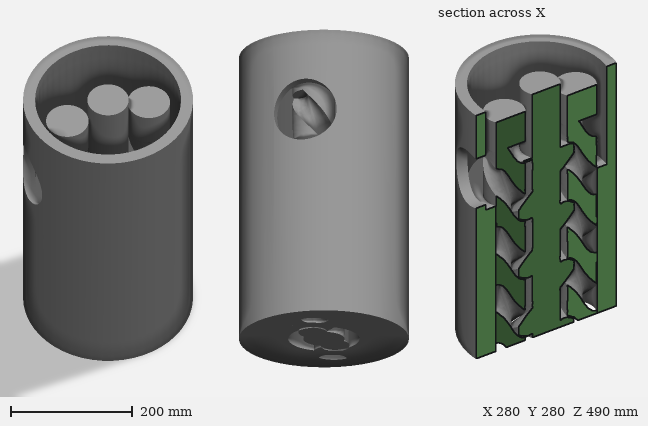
import cadquery as cq
import math


height = 490.0
housing_diameter = 280.0
chamber_diameter = 240.0
floor_z = 293.0
window_diameter = 106.0
window_z = 353.0

idler_diameter = 70.0
axis_spacing = idler_diameter
idler_top_z = 461.0
idler_thread_top_z = 400.5
shaft_diameter = 68.0
power_diameter = 116.5
power_bore_diameter = 117.5
power_thread_top_z = 362.5
lead = 233.5
mesh_z = 362.0
crest_half_angle = 14.0
flank_clearance = 1.0
flank_points = 7
starts = 2


def polar(radius, angle):
    """Point at a radius and an angle in degrees."""
    return (radius * math.cos(math.radians(angle)), radius * math.sin(math.radians(angle)))


def meshing_flank(tip_radius, end_radius):
    """(radius, angle) points traced on one screw by the tip of its equal-speed partner.

    The angle starts at zero where the tip is deepest and grows toward end_radius.
    """
    span = math.acos((axis_spacing**2 + tip_radius**2 - end_radius**2) / (2 * axis_spacing * tip_radius))
    flank = []
    for i in range(flank_points):
        turn = span * i / (flank_points - 1)
        x = axis_spacing * math.cos(turn) - tip_radius * math.cos(2 * turn)
        y = axis_spacing * math.sin(turn) - tip_radius * math.sin(2 * turn)
        flank.append((math.hypot(x, y), abs(math.degrees(math.atan2(y, x)))))
    return flank


def thread_profile(flank, inner_half_angle, flank_direction, first_angle):
    """Closed screw section with one lobe or groove per start, the first at first_angle.

    The flanks start inner_half_angle either side of each lobe or groove centre. Going outward
    in radius they spread apart for a groove (+1) or close in for a lobe (-1).
    """
    first_radius = flank[0][0]
    last_radius = flank[-1][0]
    half_angles = [inner_half_angle + flank_direction * angle for _, angle in flank]
    entry_flank = [(r, a) for (r, _), a in zip(flank, half_angles)]
    if flank_direction > 0:
        entry_flank = entry_flank[::-1]
        near_radius, far_radius = first_radius, last_radius
    else:
        near_radius, far_radius = last_radius, first_radius
    far_half_angle = entry_flank[0][1]
    step = 360 / starts

    profile = cq.Workplane("XY").moveTo(*polar(far_radius, first_angle - far_half_angle))
    for i in range(starts):
        centre = first_angle + i * step
        entry = [polar(r, centre - a) for r, a in entry_flank]
        leaving = [polar(r, centre + a) for r, a in reversed(entry_flank)]
        profile = profile.spline(entry[1:], includeCurrent=True)
        profile = profile.threePointArc(polar(near_radius, centre), leaving[0])
        profile = profile.spline(leaving[1:], includeCurrent=True)
        next_start = polar(far_radius, centre + step - far_half_angle)
        profile = profile.threePointArc(polar(far_radius, centre + step / 2), next_start)
    return profile.close()


def cylinder(diameter, bottom_z, top_z, y=0):
    """Upright cylinder on the YZ plane of symmetry."""
    return cq.Workplane("XY", origin=(0, y, bottom_z)).circle(diameter / 2).extrude(top_z - bottom_z)


def make_housing():
    housing = cylinder(housing_diameter, 0, height)
    housing = housing.cut(cylinder(chamber_diameter, floor_z, height))
    housing = housing.cut(cylinder(power_bore_diameter, 0, floor_z))
    for side in (-1, 1):
        housing = housing.cut(cylinder(idler_diameter, 0, floor_z, side * axis_spacing))
    window = cq.Workplane("XZ", origin=(0, 0, window_z)).circle(window_diameter / 2).extrude(housing_diameter)
    return housing.cut(window)


def make_power_screw():
    flank = meshing_flank(idler_diameter / 2, power_diameter / 2)
    flank[0] = (shaft_diameter / 2, flank[0][1])
    base_half_angle = crest_half_angle + flank[-1][1] - flank_clearance
    bottom_angle = 90 - 360 * mesh_z / lead
    profile = thread_profile(flank, base_half_angle, -1, bottom_angle)
    thread = profile.twistExtrude(power_thread_top_z, 360 * power_thread_top_z / lead)
    return thread.union(cylinder(shaft_diameter, power_thread_top_z, height))


def make_idler():
    flank = meshing_flank(power_bore_diameter / 2, idler_diameter / 2)
    bottom_angle = 90 + 360 * mesh_z / lead
    profile = thread_profile(flank, crest_half_angle, 1, bottom_angle)
    thread = profile.twistExtrude(idler_thread_top_z, -360 * idler_thread_top_z / lead)
    return thread.union(cylinder(idler_diameter, idler_thread_top_z, idler_top_z))


housing = make_housing()
power_screw = make_power_screw()
idlers = []
for side in (-1, 1):
    idlers.append(make_idler().translate((0, side * axis_spacing, 0)))

result = cq.Compound.makeCompound([housing.val(), power_screw.val(), *[idler.val() for idler in idlers]])